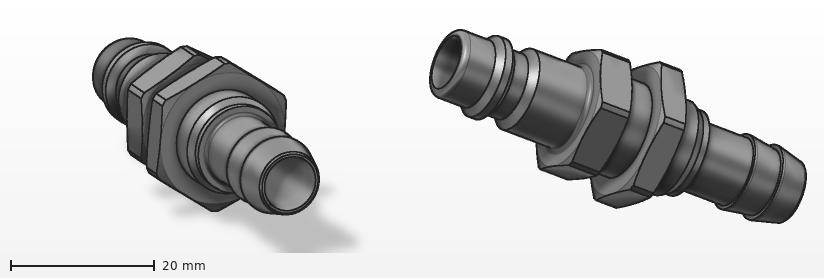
import cadquery as cq
import math

total_length = 56.0
bore_diameter = 7.8

tip_diameter = 10.0
tip_round = 0.85
collar_diameter = 12.0
collar_rise_start = 4.9
collar_start = 6.0
collar_end = 7.15
groove_diameter = 9.75
groove_start = 8.1
groove_end = 10.35
shank_start = 11.55
neck_fillet = 0.7

body_hex_start = 19.9
body_hex_width = 5.15
body_hex_flats = 17.0
body_hex_corners = 19.15
barrel_diameter = 14.0
barrel_end = 36.8
step_diameter = 12.6
step_start = 38.0
step_end = 39.05

tail_diameter = 10.0
tail_fillet = 0.45
barb_diameter = 11.1
barb_starts = [46.9, 51.45]
barb_land = 0.35
barb_valley_diameter = 9.8
nose_diameter = 9.1
nose_chamfer = 0.3

nut_start = 29.25
nut_width = 4.0
nut_flats = 19.0
nut_corners = 21.4
nut_turn = 5.3

hex_chamfer = 0.35


def hexagon(start, width, flats, corners):
    """Hexagonal prism along X with corners up, turned down and chamfered at both ends."""
    across_points = flats / math.cos(math.radians(30))
    prism = cq.Workplane("YZ", origin=(start, 0, 0)).polygon(6, across_points).extrude(width)
    prism = prism.rotate((0, 0, 0), (1, 0, 0), 90)
    end = start + width
    envelope = (
        cq.Workplane("XY")
        .moveTo(start, 0)
        .lineTo(start, flats / 2)
        .lineTo(start + hex_chamfer, corners / 2)
        .lineTo(end - hex_chamfer, corners / 2)
        .lineTo(end, flats / 2)
        .lineTo(end, 0)
        .close()
        .revolve(360, (0, 0, 0), (1, 0, 0))
    )
    return prism.intersect(envelope)


def cylinder(start, end, diameter):
    return cq.Workplane("YZ", origin=(start, 0, 0)).circle(diameter / 2).extrude(end - start)


def turned_profile():
    """Solid of revolution for the plug, barrel and hose tail, before boring."""
    tip_radius = tip_diameter / 2
    collar_radius = collar_diameter / 2
    groove_radius = groove_diameter / 2
    barrel_radius = barrel_diameter / 2
    step_radius = step_diameter / 2
    tail_radius = tail_diameter / 2
    barb_radius = barb_diameter / 2
    nose_radius = nose_diameter / 2
    first_barb, second_barb = barb_starts
    arc_inset = 1 - math.sqrt(0.5)

    return (
        cq.Workplane("XY")
        .moveTo(0, 0)
        .lineTo(0, tip_radius - tip_round)
        .threePointArc(
            (tip_round * arc_inset, tip_radius - tip_round * arc_inset),
            (tip_round, tip_radius),
        )
        .lineTo(collar_rise_start, tip_radius)
        .lineTo(collar_start, collar_radius)
        .lineTo(collar_end, collar_radius)
        .lineTo(groove_start, groove_radius)
        .lineTo(groove_end, groove_radius)
        .lineTo(shank_start, collar_radius)
        .lineTo(body_hex_start - neck_fillet, collar_radius)
        .threePointArc(
            (body_hex_start - neck_fillet * arc_inset, collar_radius + neck_fillet * arc_inset),
            (body_hex_start, collar_radius + neck_fillet),
        )
        .lineTo(body_hex_start, barrel_radius)
        .lineTo(barrel_end, barrel_radius)
        .lineTo(step_start, step_radius)
        .lineTo(step_end, step_radius)
        .lineTo(step_end, tail_radius + tail_fillet)
        .threePointArc(
            (step_end + tail_fillet * arc_inset, tail_radius + tail_fillet * arc_inset),
            (step_end + tail_fillet, tail_radius),
        )
        .lineTo(first_barb, tail_radius)
        .lineTo(first_barb, barb_radius)
        .lineTo(first_barb + barb_land, barb_radius)
        .lineTo(second_barb, barb_valley_diameter / 2)
        .lineTo(second_barb, barb_radius)
        .lineTo(second_barb + barb_land, barb_radius)
        .lineTo(total_length - nose_chamfer, nose_radius)
        .lineTo(total_length, nose_radius - nose_chamfer)
        .lineTo(total_length, 0)
        .close()
        .revolve(360, (0, 0, 0), (1, 0, 0))
    )


def make_plug_body():
    """Plug with its fixed hexagon, bored right through."""
    body_hex = hexagon(body_hex_start, body_hex_width, body_hex_flats, body_hex_corners)
    bore = cylinder(0, total_length, bore_diameter)
    return turned_profile().union(body_hex).cut(bore)


def make_nut():
    """Nut that fits on the barrel."""
    blank = hexagon(nut_start, nut_width, nut_flats, nut_corners)
    hole = cylinder(nut_start, nut_start + nut_width, barrel_diameter)
    return blank.cut(hole).rotate((0, 0, 0), (1, 0, 0), -nut_turn)


plug_body = make_plug_body()
nut = make_nut()

result = cq.Compound.makeCompound([plug_body.val(), nut.val()])